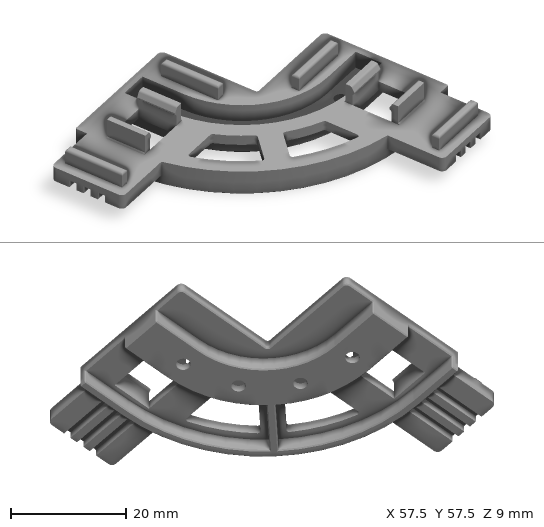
import cadquery as cq
import math

MIRROR_NORMAL = cq.Vector(1, 1, 0)

top_z = 5.0
plate_thickness = 2.0
plate_underside = top_z - plate_thickness
tongue_thickness = 3.0

full_reach = 57.5
arc_center = 10.0
notch = 20.3
rim_radius = 36.5
rim_reach = arc_center + rim_radius
wall = 1.5
outer_corner_radius = 1.0
inner_corner_radius = 0.5
edge_chamfer = 0.2

channel_radius = 20.75
channel_width = 5.5
channel_end = 1.45
channel_wall = 1.4
channel_floor = 1.5
screw_hole_diameter = 2.55
screw_hole_angles = (0, 30, 60, 90)

window_inner_radius = 26.5
window_outer_radius = 33.6
window_corner_radius = 0.5
spoke_width = 4.5

tongue_width = 15.05
groove_width = 1.5
groove_depth = 1.5
groove_pitch = 3.0
groove_count = 3

ridge_length = 11.95
ridge_width = 1.55
ridge_height = 3.05
ridge_rounding = 0.5
ridge_reaches = (25.3, 54.75)

clip_width = 8.0
clip_height = 4.0
clip_thickness = 1.45
clip_top_thickness = 1.2
clip_top_rounding = 0.5
hook_depth = 0.4
hook_tip_top = 2.95
hook_tip_bottom = 2.65
clip_foot = 0.3
opening_length = 8.15
opening_reach = 40.0


def block(width, length, height, x, reach, bottom):
    """Box centered on x and reach, standing on the height 'bottom'."""
    return cq.Workplane("XY").box(width, length, height, (True, True, False)).translate((x, -reach, bottom))


def with_mirror(solid):
    return solid.union(solid.mirror(MIRROR_NORMAL))


def arc_point(radius, degrees):
    """Point on an arc about the common center; 0 points along +X and 90 along -Y."""
    angle = math.radians(degrees)
    return (arc_center + radius * math.cos(angle), -arc_center - radius * math.sin(angle))


def quarter_turn(inner_radius, outer_radius, end, bottom, top):
    """Constant-width strip: straight along both arms, joined by a quarter turn."""
    inner_reach = arc_center + inner_radius
    outer_reach = arc_center + outer_radius
    return (
        cq.Workplane("XY", origin=(0, 0, bottom))
        .moveTo(end, -inner_reach)
        .lineTo(arc_center, -inner_reach)
        .threePointArc(arc_point(inner_radius, 45), (inner_reach, -arc_center))
        .lineTo(inner_reach, -end)
        .lineTo(outer_reach, -end)
        .lineTo(outer_reach, -arc_center)
        .threePointArc(arc_point(outer_radius, 45), (arc_center, -outer_reach))
        .lineTo(end, -outer_reach)
        .close()
        .extrude(top - bottom)
    )


def make_plate():
    plate = quarter_turn(notch - arc_center, rim_radius, 0, plate_underside, top_z)
    inner_filler = block(notch, notch, plate_thickness, notch, notch, plate_underside)
    open_notch = block(notch, notch, plate_thickness, notch / 2, notch / 2, plate_underside)
    plate = plate.union(inner_filler).cut(open_notch)
    inner_corner = cq.selectors.NearestToPointSelector((notch, -notch, plate_underside + plate_thickness / 2))
    plate = plate.edges(inner_corner).fillet(inner_corner_radius)
    for corner in ((0, -notch), (notch, 0)):
        selector = cq.selectors.NearestToPointSelector((*corner, plate_underside + plate_thickness / 2))
        plate = plate.edges(selector).fillet(outer_corner_radius)
    return plate


def make_body():
    """Plate with the channel, rim and spoke walls hanging below it, lower outer edges chamfered."""
    channel_half = channel_width / 2 + channel_wall
    trough = quarter_turn(channel_radius - channel_half, channel_radius + channel_half, 0, 0, plate_underside)
    rim = quarter_turn(rim_radius - wall, rim_radius, 0, 0, plate_underside)
    spoke_length = rim_radius - wall / 2 - channel_radius
    spoke = (
        cq.Workplane("XY")
        .box(spoke_length, wall, plate_underside, (False, True, False))
        .translate((channel_radius, 0, 0))
        .rotate((0, 0, 0), (0, 0, 1), -45)
        .translate((arc_center, -arc_center, 0))
    )
    body = make_plate().union(trough).union(rim).union(spoke).clean()
    below_plate = cq.selectors.BoxSelector((-0.6, -full_reach, -0.6), (full_reach, 0.6, plate_underside + 0.05))
    return body.faces("<Z or <X or >Y").edges(below_plate).chamfer(edge_chamfer)


def channel_cut():
    half = channel_width / 2
    cut = quarter_turn(channel_radius - half, channel_radius + half, channel_end, channel_floor, top_z)
    hole_centers = [arc_point(channel_radius, angle) for angle in screw_hole_angles]
    holes = cq.Workplane("XY").pushPoints(hole_centers).circle(screw_hole_diameter / 2).extrude(top_z)
    return cut.union(holes)


def window_cut():
    """Window bounded by two arcs, the notch line and the edge of the diagonal spoke."""
    side = notch - arc_center

    def at_side(radius):
        return (notch, -arc_center - math.sqrt(radius**2 - side**2))

    def at_spoke(radius):
        return arc_point(radius, 45 + math.degrees(math.asin(spoke_width / 2 / radius)))

    middle_angle = 57
    return (
        cq.Workplane("XY", origin=(0, 0, plate_underside))
        .moveTo(*at_side(window_inner_radius))
        .threePointArc(arc_point(window_inner_radius, middle_angle), at_spoke(window_inner_radius))
        .lineTo(*at_spoke(window_outer_radius))
        .threePointArc(arc_point(window_outer_radius, middle_angle), at_side(window_outer_radius))
        .close()
        .extrude(plate_thickness)
        .edges("|Z")
        .fillet(window_corner_radius)
    )


def make_tongue():
    start = rim_reach - wall
    length = full_reach - start
    bottom = top_z - tongue_thickness
    middle = (start + full_reach) / 2
    tongue = block(tongue_width, length, tongue_thickness, arc_center, middle, bottom)
    tongue = tongue.edges("|Z and <Y").fillet(outer_corner_radius)
    for index in range(groove_count):
        x = arc_center + (index - (groove_count - 1) / 2) * groove_pitch
        tongue = tongue.cut(block(groove_width, length, groove_depth, x, middle, bottom))
    return tongue


def make_ridge(reach):
    ridge = block(ridge_length, ridge_width, ridge_height, arc_center, reach, top_z)
    return ridge.faces(">Z").edges().fillet(ridge_rounding)


def make_clip(direction):
    """Clip on one side of the opening; direction +1 faces farther reach, -1 faces back."""
    back = opening_reach - direction * (opening_length / 2 + clip_thickness)

    def point(depth, height):
        return (-(back + direction * depth), top_z + height)

    hook_tip = clip_thickness + hook_depth
    clip = (
        cq.Workplane("YZ", origin=(arc_center - clip_width / 2, 0, 0))
        .moveTo(*point(-clip_foot, 0))
        .lineTo(*point(0, clip_foot))
        .lineTo(*point(0, clip_height))
        .lineTo(*point(clip_top_thickness, clip_height))
        .lineTo(*point(hook_tip, hook_tip_top))
        .lineTo(*point(hook_tip, hook_tip_bottom))
        .lineTo(*point(clip_thickness, hook_tip_bottom - hook_depth))
        .lineTo(*point(clip_thickness, 0))
        .close()
        .extrude(clip_width)
    )
    lead_in_edge = cq.selectors.NearestToPointSelector((arc_center, *point(clip_top_thickness, clip_height)))
    return clip.edges(lead_in_edge).fillet(clip_top_rounding)


opening = block(clip_width, opening_length, plate_thickness, arc_center, opening_reach, plate_underside)

result = make_body().union(with_mirror(make_tongue()))
result = result.cut(channel_cut())
for cutter in (window_cut(), opening):
    result = result.cut(cutter).cut(cutter.mirror(MIRROR_NORMAL))
raised_features = [make_ridge(reach) for reach in ridge_reaches] + [make_clip(1), make_clip(-1)]
for feature in raised_features:
    result = result.union(feature).union(feature.mirror(MIRROR_NORMAL))